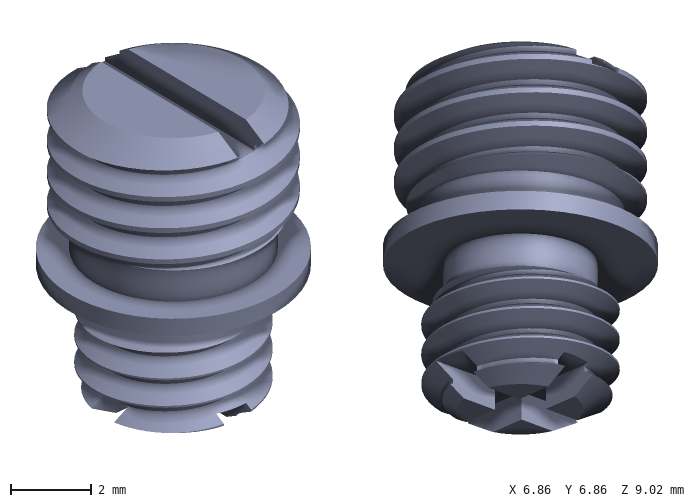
import cadquery as cq
import math

length = 9.02
lower_thread_top = 3.07
flange_bottom = 3.94
flange_top = 4.45
upper_thread_bottom = 5.36

flange_diameter = 6.86

upper_root_diameter = 5.21
upper_crest_diameter = 6.31
upper_pitch = 0.91
upper_crest_flat = 0.135
upper_tip_diameter = 4.55
upper_crest_height = 6.05

lower_root_diameter = 3.86
lower_crest_diameter = 4.95
lower_pitch = 0.8
lower_crest_flat = 0.05
lower_tip_diameter = 3.14
lower_crest_height = 1.39

flank_slope = math.tan(math.radians(30))
root_overlap = 0.01

trim_margin = 0.9
trim_reach = 2.71

slot_width = 0.9
slot_depth = 0.75


def cylinder(diameter, bottom, top):
    return cq.Workplane("XY").workplane(offset=bottom).circle(diameter / 2).extrude(top - bottom)


def end_trimmer(tip_diameter, crest_diameter, end, outward):
    """Cutter that ends a thread at a flat tip with a cone around it.

    outward is 1 for an end that faces up and -1 for one that faces down.
    """
    tip_radius = tip_diameter / 2
    outer_radius = crest_diameter / 2 + trim_margin
    cone_foot = end - outward * (outer_radius - tip_radius) * flank_slope
    beyond = end + outward * trim_reach
    return (
        cq.Workplane("XZ")
        .moveTo(0, end)
        .lineTo(tip_radius, end)
        .lineTo(outer_radius, cone_foot)
        .lineTo(outer_radius, beyond)
        .lineTo(0, beyond)
        .close()
        .revolve(360, (0, 0, 0), (0, 1, 0))
    )


def thread_ridge(root_diameter, crest_diameter, crest_flat, pitch, start, turns):
    """Right-handed ridge whose first crest is on the +X side at height start."""
    inner_radius = root_diameter / 2 - root_overlap
    crest_radius = crest_diameter / 2
    crest_half = crest_flat / 2
    base_half = crest_half + (crest_radius - inner_radius) * flank_slope
    path = cq.Wire.makeHelix(pitch, turns * pitch, inner_radius, cq.Vector(0, 0, start))
    return (
        cq.Workplane("XZ")
        .moveTo(inner_radius, start - base_half)
        .lineTo(crest_radius, start - crest_half)
        .lineTo(crest_radius, start + crest_half)
        .lineTo(inner_radius, start + base_half)
        .close()
        .sweep(cq.Workplane(path), isFrenet=True)
    )


def threaded_end(
    root_diameter, crest_diameter, crest_flat, pitch, crest_height,
    bottom, bottom_tip, top, top_tip,
):
    """Core with a ridge, made too long at both ends and then trimmed."""
    start = crest_height - (math.ceil((crest_height - bottom) / pitch) + 1) * pitch
    turns = math.ceil((top - start) / pitch) + 1
    core = cylinder(root_diameter, start - pitch / 2, start + (turns + 1 / 2) * pitch)
    ridge = thread_ridge(root_diameter, crest_diameter, crest_flat, pitch, start, turns)
    return (
        core.union(ridge)
        .cut(end_trimmer(top_tip, crest_diameter, top, 1))
        .cut(end_trimmer(bottom_tip, crest_diameter, bottom, -1))
    )


def slot(bottom, along_x):
    """Cutter for a slot right across the part."""
    size_x = flange_diameter if along_x else slot_width
    size_y = slot_width if along_x else flange_diameter
    return (
        cq.Workplane("XY")
        .box(size_x, size_y, slot_depth, centered=(True, True, False))
        .translate((0, 0, bottom))
    )


upper_end = threaded_end(
    upper_root_diameter, upper_crest_diameter, upper_crest_flat, upper_pitch, upper_crest_height,
    upper_thread_bottom, upper_root_diameter, length, upper_tip_diameter,
)
lower_end = threaded_end(
    lower_root_diameter, lower_crest_diameter, lower_crest_flat, lower_pitch, lower_crest_height,
    0, lower_tip_diameter, lower_thread_top, lower_root_diameter,
)

lower_neck = cylinder(lower_root_diameter, lower_thread_top, flange_bottom)
flange = cylinder(flange_diameter, flange_bottom, flange_top)
upper_neck = cylinder(upper_root_diameter, flange_top, upper_thread_bottom)

body = lower_end.union(lower_neck).union(flange).union(upper_neck).union(upper_end)

body = body.cut(slot(length - slot_depth, along_x=True))
for along_x in (True, False):
    body = body.cut(slot(0, along_x))

result = body